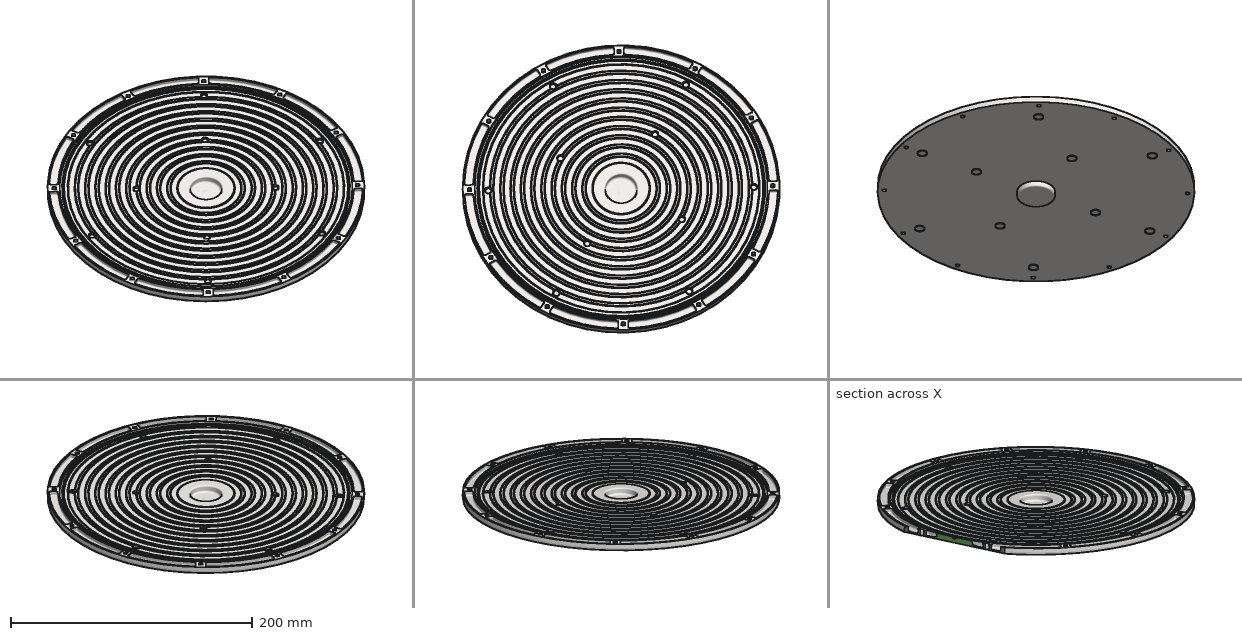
import cadquery as cq
import math

TOTAL_HEIGHT = 10.3
PARTING_DEPTH = 3.25
RIM_DEPTH = 5.55
PEG_DEPTH = 6.2
RIDGE_DEPTH = 1.6
FLOOR_DEPTH = 1.9
LIP_DEPTH = 0.6

RIM_RADIUS = 262.85 / 2
RIM_DRAFT = 0.2
RIM_INNER_RADIUS = 121.4
GROOVE_OUTER_RADIUS = 121.2
GROOVE_INNER_RADIUS = 119.4
LIP_TOP_OUTER_RADIUS = 118.7
LIP_TOP_INNER_RADIUS = 118.1
LIP_BASE_RADIUS = 117.5

RING_COUNT = 10
RING_PITCH = 8.5
FIRST_RING_RADIUS = 30.8
CREST_HALF_WIDTH = 0.97
BASE_HALF_WIDTH = 1.8
HUB_PLATE_RADIUS = FIRST_RING_RADIUS - RING_PITCH + CREST_HALF_WIDTH
HUB_PLATE_BASE_RADIUS = FIRST_RING_RADIUS - RING_PITCH + BASE_HALF_WIDTH

HUB_RADIUS = 15.8
HUB_EDGE_FILLET = 1.4
CUP_DEPTH = 7.5
CUP_TOP_RADIUS = 13.2
CUP_FLOOR_RADIUS = 13.0
CUP_LIP_FILLET = 1.3
CUP_FLOOR_FILLET = 1.9
BUMP_BASE_RADIUS = 3.6
BUMP_TOP_RADIUS = 2.0
BUMP_HEIGHT = 0.3

POCKET_COUNT = 12
POCKET_DEPTH = 3.9
POCKET_INNER_RADIUS = 122.7
POCKET_OUTER_RADIUS = 129.8
LAND_HALF_WIDTH = 4.1
POCKET_CORNER_FILLET = 1.5
POCKET_FLOOR_FILLET = 1.0
HOLE_CIRCLE_RADIUS = 125.6
HOLE_DIAMETER = 3.2
FIRST_HOLE_ANGLE = 15

PEG_DIAMETER = 8.0
RECESS_TOP_DIAMETER = 5.7
RECESS_FLOOR_DIAMETER = 4.9
RECESS_DEPTH = 1.4
OUTER_PEG_CIRCLE_RADIUS = 110.0
OUTER_PEG_COUNT = 6
OUTER_PEG_FIRST_ANGLE = 15
INNER_PEG_CIRCLE_RADIUS = 57.6
INNER_PEG_COUNT = 4
INNER_PEG_FIRST_ANGLE = 45


def circle_points(radius, count, first_angle):
    """Points evenly spaced on a circle about the Z axis."""
    angles = [math.radians(first_angle + 360 * i / count) for i in range(count)]
    return [(radius * math.cos(a), radius * math.sin(a)) for a in angles]


def make_disc():
    """Revolve the ringed disc, with its seam on the -X side."""
    outline = cq.Workplane("XZ").moveTo(0, -RIDGE_DEPTH)
    outline = outline.lineTo(-HUB_PLATE_RADIUS, -RIDGE_DEPTH)
    outline = outline.lineTo(-HUB_PLATE_BASE_RADIUS, -FLOOR_DEPTH)
    for i in range(RING_COUNT):
        radius = FIRST_RING_RADIUS + i * RING_PITCH
        outline = outline.lineTo(-(radius - BASE_HALF_WIDTH), -FLOOR_DEPTH)
        outline = outline.lineTo(-(radius - CREST_HALF_WIDTH), -RIDGE_DEPTH)
        outline = outline.lineTo(-(radius + CREST_HALF_WIDTH), -RIDGE_DEPTH)
        outline = outline.lineTo(-(radius + BASE_HALF_WIDTH), -FLOOR_DEPTH)
    shelf_radius = FIRST_RING_RADIUS + RING_COUNT * RING_PITCH
    outline = (
        outline.lineTo(-(shelf_radius - BASE_HALF_WIDTH), -FLOOR_DEPTH)
        .lineTo(-(shelf_radius - CREST_HALF_WIDTH), -RIDGE_DEPTH)
        .lineTo(-LIP_BASE_RADIUS, -RIDGE_DEPTH)
        .lineTo(-LIP_TOP_INNER_RADIUS, -LIP_DEPTH)
        .lineTo(-LIP_TOP_OUTER_RADIUS, -LIP_DEPTH)
        .lineTo(-GROOVE_INNER_RADIUS, -FLOOR_DEPTH)
        .lineTo(-GROOVE_OUTER_RADIUS, -FLOOR_DEPTH)
        .lineTo(-RIM_INNER_RADIUS, 0)
        .lineTo(-(RIM_RADIUS - RIM_DRAFT), 0)
        .lineTo(-RIM_RADIUS, -PARTING_DEPTH)
        .lineTo(-(RIM_RADIUS - RIM_DRAFT), -RIM_DEPTH)
        .lineTo(0, -RIM_DEPTH)
        .close()
    )
    return outline.revolve(360, (0, 0, 0), (0, 1, 0))


def add_hub(body):
    """Add the hub below the disc and hollow it into a cup with a central bump."""
    hub = (
        cq.Workplane("XY", origin=(0, 0, -TOTAL_HEIGHT))
        .circle(HUB_RADIUS)
        .extrude(TOTAL_HEIGHT - RIDGE_DEPTH)
        .faces("<Z")
        .edges()
        .fillet(HUB_EDGE_FILLET)
        .rotate((0, 0, 0), (0, 0, 1), 180)
    )
    cup = (
        cq.Workplane("XY", origin=(0, 0, -RIDGE_DEPTH))
        .circle(CUP_TOP_RADIUS)
        .workplane(offset=RIDGE_DEPTH - CUP_DEPTH)
        .circle(CUP_FLOOR_RADIUS)
        .loft()
        .faces("<Z")
        .edges()
        .fillet(CUP_FLOOR_FILLET)
    )
    bump = (
        cq.Workplane("XY", origin=(0, 0, -CUP_DEPTH))
        .circle(BUMP_BASE_RADIUS)
        .workplane(offset=BUMP_HEIGHT)
        .circle(BUMP_TOP_RADIUS)
        .loft()
    )
    body = body.union(hub).cut(cup)
    cup_mouth = cq.selectors.NearestToPointSelector((0, 0, -RIDGE_DEPTH))
    return body.edges(cup_mouth).fillet(CUP_LIP_FILLET).union(bump)


def make_pocket():
    """Rounded arc pocket centred on the +X axis."""
    half_pitch = math.pi / POCKET_COUNT

    def end_point(radius, side):
        angle = half_pitch - math.asin(LAND_HALF_WIDTH / radius)
        return (radius * math.cos(angle), side * radius * math.sin(angle))

    return (
        cq.Workplane("XY", origin=(0, 0, -POCKET_DEPTH))
        .moveTo(*end_point(POCKET_INNER_RADIUS, -1))
        .lineTo(*end_point(POCKET_OUTER_RADIUS, -1))
        .threePointArc((POCKET_OUTER_RADIUS, 0), end_point(POCKET_OUTER_RADIUS, 1))
        .lineTo(*end_point(POCKET_INNER_RADIUS, 1))
        .threePointArc((POCKET_INNER_RADIUS, 0), end_point(POCKET_INNER_RADIUS, -1))
        .close()
        .extrude(POCKET_DEPTH)
        .edges("|Z")
        .fillet(POCKET_CORNER_FILLET)
        .faces("<Z")
        .edges()
        .fillet(POCKET_FLOOR_FILLET)
    )


def cut_rim(body):
    """Cut the pockets round the rim and the through hole in each land."""
    pocket = make_pocket()
    for i in range(POCKET_COUNT):
        body = body.cut(pocket.rotate((0, 0, 0), (0, 0, 1), i * 360 / POCKET_COUNT))
    holes = (
        cq.Workplane("XY")
        .pushPoints(circle_points(HOLE_CIRCLE_RADIUS, POCKET_COUNT, FIRST_HOLE_ANGLE))
        .circle(HOLE_DIAMETER / 2)
        .extrude(-RIM_DEPTH)
    )
    return body.cut(holes)


def add_pegs(body, points):
    """Add a peg below the disc at each point, with a tapered recess above it."""
    pegs = (
        cq.Workplane("XY", origin=(0, 0, -PEG_DEPTH))
        .pushPoints(points)
        .circle(PEG_DIAMETER / 2)
        .extrude(PEG_DEPTH - RIM_DEPTH)
    )
    recess_draft = math.degrees(
        math.atan((RECESS_TOP_DIAMETER - RECESS_FLOOR_DIAMETER) / 2 / RECESS_DEPTH)
    )
    recesses = (
        cq.Workplane("XY", origin=(0, 0, -FLOOR_DEPTH - RECESS_DEPTH))
        .pushPoints(points)
        .circle(RECESS_FLOOR_DIAMETER / 2)
        .extrude(FLOOR_DEPTH + RECESS_DEPTH - RIDGE_DEPTH, taper=-recess_draft)
    )
    return body.union(pegs).cut(recesses)


result = add_hub(make_disc())
result = cut_rim(result)
result = add_pegs(
    result, circle_points(OUTER_PEG_CIRCLE_RADIUS, OUTER_PEG_COUNT, OUTER_PEG_FIRST_ANGLE)
)
result = add_pegs(
    result, circle_points(INNER_PEG_CIRCLE_RADIUS, INNER_PEG_COUNT, INNER_PEG_FIRST_ANGLE)
)